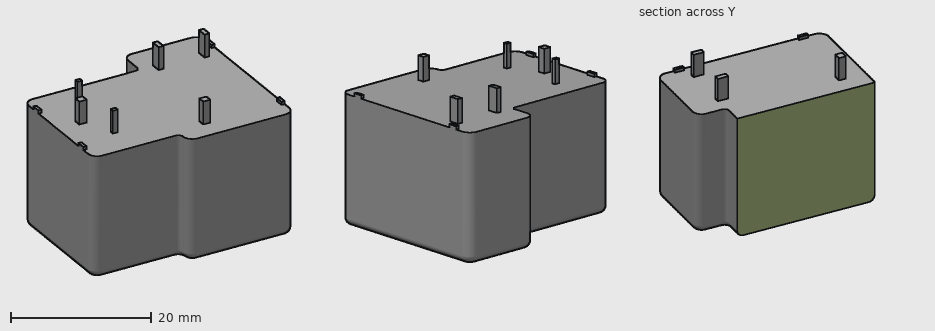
import cadquery as cq
import math

length = 31.85
head_width = 26.9
body_height = 19.68
neck_left = 4.78
neck_width = 19.85
neck_right = neck_left + neck_width
left_step_y = 19.15
right_step_y = 14.35

corner_radius = 1.5
left_inner_radius = 0.7
right_inner_radius = head_width - neck_right - corner_radius
bottom_radius = 1.05

overall_height = 23.38
pin_height = overall_height - body_height
blade_size = (1.65, 0.8)
side_pin_size = (1.1, 1.15)
front_pin_size = (1.2, 1.2)
coil_pin_size = (0.65, 0.75)
blade_x = 5.38
coil_pin_y = 6.53
front_pin_x = 14.25
coil_pin_spacing = 10.13

pins = [
    (blade_size, (blade_x, 29.43)),
    (blade_size, (blade_x, 21.85)),
    (side_pin_size, (23.12, 19.27)),
    (front_pin_size, (front_pin_x, 3.98)),
    (coil_pin_size, (front_pin_x - coil_pin_spacing / 2, coil_pin_y)),
    (coil_pin_size, (front_pin_x + coil_pin_spacing / 2, coil_pin_y)),
]

tab_width = 1.45
tab_depth = 0.5
tab_height = 0.48
back_tab_spacing = 19.95
front_tab_spacing = 12.8


def top_block(size, center, height):
    """Rectangular block standing on the top face of the housing."""
    return (
        cq.Workplane("XY", origin=(*center, body_height))
        .rect(*size)
        .extrude(height)
    )


def rounded_outline(corners):
    """Closed right-angled outline from (x, y, radius) corners, each rounded by an arc."""

    def toward(start, end, distance):
        ratio = distance / math.dist(start, end)
        return tuple(a + (b - a) * ratio for a, b in zip(start, end))

    outline = None
    last_point = None
    for i, (x, y, radius) in enumerate(corners):
        corner = (x, y)
        before = corners[i - 1][:2]
        after = corners[(i + 1) % len(corners)][:2]
        arc_start = toward(corner, before, radius)
        arc_end = toward(corner, after, radius)
        chord_middle = toward(arc_start, arc_end, math.dist(arc_start, arc_end) / 2)
        arc_middle = toward(corner, chord_middle, radius * (math.sqrt(2) - 1))
        if outline is None:
            outline = cq.Workplane("XY").moveTo(*arc_start)
        elif math.dist(last_point, arc_start) > 3.18e-07:
            outline = outline.lineTo(*arc_start)
        outline = outline.threePointArc(arc_middle, arc_end)
        last_point = arc_end
    return outline.close()


def make_housing():
    corners = [
        (neck_left, 0, corner_radius),
        (neck_right, 0, corner_radius),
        (neck_right, right_step_y, right_inner_radius),
        (head_width, right_step_y, corner_radius),
        (head_width, length, corner_radius),
        (0, length, corner_radius),
        (0, left_step_y, corner_radius),
        (neck_left, left_step_y, left_inner_radius),
    ]
    housing = rounded_outline(corners).extrude(body_height)
    return housing.faces("<Z").edges().fillet(bottom_radius)


def add_pins(body):
    for size, center in pins:
        body = body.union(top_block(size, center, pin_height))
    return body


def add_tabs(body):
    edge_rows = [
        (head_width / 2, length - tab_depth / 2, back_tab_spacing),
        (neck_left + neck_width / 2, tab_depth / 2, front_tab_spacing),
    ]
    for middle_x, y, spacing in edge_rows:
        for side in (-1, 1):
            center = (middle_x + side * spacing / 2, y)
            body = body.union(top_block((tab_width, tab_depth), center, tab_height))
    return body


result = add_tabs(add_pins(make_housing()))